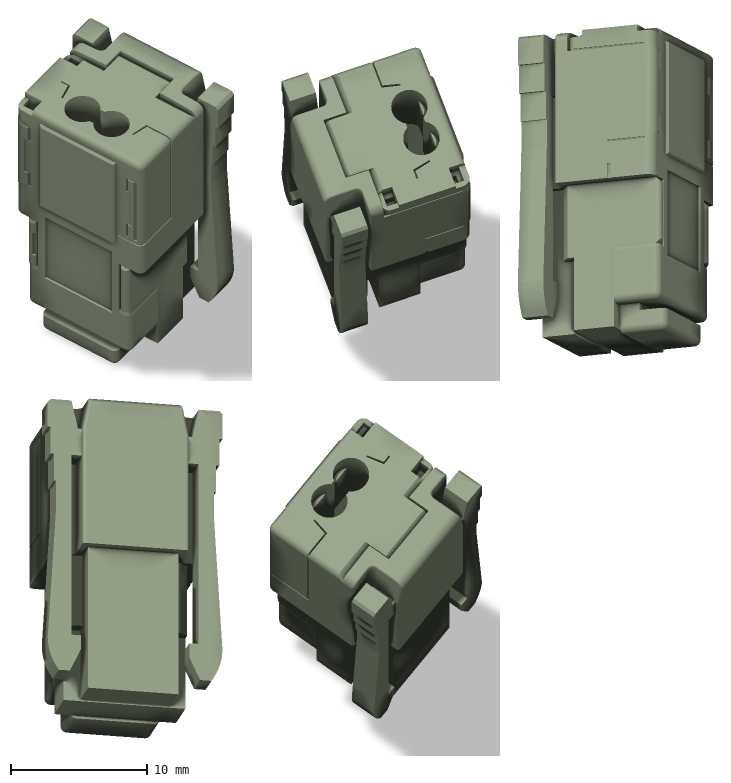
import cadquery as cq
import math

block_half_w = 5.72
block_bottom = 11.12
block_top = 22.45
block_back = 6.87
edge_round = 0.47
corner_round = 0.65
tongue_half_w = 2.3
tongue_back = 8.65
tongue_chamfer = 0.38

cover_top = 22.6
cover_slot_half_w = 2.42
wing_back = 7.89
cover_half_w = 3.98
cover_back = 10.74
cover_inner_round = 0.43
cover_edge_round = 0.23
cover_back_round = 0.63
wing_round = 0.68
cover_rim_round = 0.14
roof_slope = 0.05
flank_start = 20.07
flank_inset = 0.52

body_half_w = 4.57
body_back = 7.3
body_bottom = 0.2
slot_front = 6.8
slot_top = 5.67
bar_half_w = 3.4
bar_back = 9.83

shell_half_w = 4.6
shell_depth = 3.62
shell_bottom = 2.05
shell_top = 6.17
shell_bevel = 0.23
tab_half_w = 3.4
tab_top = 1.54
stem_front = 2.05

rib_inner = 3.77
rib_gap = 0.14
rib_proud = 0.1
rib_base = 0.25
rib_end_chamfer = 0.35
rib_edge_round = 0.32
rib_notch_bottom = 7.44
rib_notch_height = 2.33
rib_notch_width = 0.35
rib_notch_depth = 0.1

arm_front = 8.38
arm_depth = 2.03
arm_top = 22.22
arm_outer = 6.55
arm_inner = 4.77
arm_neck = 5.92
arm_step_pitch = 2.08
arm_step_outers = (6.33, 6.08)
arm_foot_inner = 4.3
arm_tip_inner = 4.88
arm_tip_outer = 5.72
arm_tip_bottom = 1.22
arm_curve_start = 3.73
arm_curve_mid_x = 6.3
arm_curve_mid_z = 2.3
hook_inner = 4.07
hook_top = 4.02
hook_bottom = 2.94

plate_half_w = 3.4
plate_bottom = 13.09
plate_height = 8.5
plate_proud = 0.23
plate_bevel = 0.14
panel_half_w = 3.03
panel_bottom = 5.54
panel_height = 6.45
panel_depth = 0.18
latch_bottom = 14.42
latch_top = 20.52
latch_end_height = 1.35
latch_inner = 4.32
latch_waist = 4.84
latch_right_outer = 5.3
latch_proud = 0.07
latch_gap = 0.2
latch_outer_gap = 0.27
latch_flare = 0.45

bore_radius = 1.33
bore_spacing = 2.62
bore_y = 2.35
bore_depth = 6.78
bore_neck_w = 0.27
bore_neck_h = 1.4
ledge_y = 1.33
ledge_depth = 1.8
pocket_inner = 4.18
pocket_lip = 0.38
pocket_depth = 2.03
shelf_depth = 1.13
well_inner = 4.52
front_shelf_start = 0.47
front_well_start = 0.81
front_pocket_back = 1.27
rear_pocket_front = 5.67
slit_width = 0.14
slit_depth = 0.45
slit_y = 3.64
slit_bend_x = 3.5
slit_end_x = 3.19
slit_end_y = 2.37
slit_left_outer = 4.2
seam_low = 14.0
seam_high = 20.95
seam_depth = 0.1
side_notch_y = 3.37
side_notch_width = 0.3
side_notch_height = 1.1

OVER = 0.23


def block(x0, x1, y0, y1, z0, z1):
    """Box given by its limits along each axis."""
    return cq.Workplane("XY").box(x1 - x0, y1 - y0, z1 - z0, centered=False).translate((x0, y0, z0))


def both_sides(solid):
    """The solid together with its mirror image across X = 0."""
    return solid.union(solid.mirror("YZ"))


def along_y(profile, y0, y1):
    """Extrude a closed XZ profile from y0 to y1."""
    return profile.extrude(y0 - y1).translate((0, y0, 0))


def make_upper_block():
    body = block(-block_half_w, block_half_w, 0, block_back, block_bottom, block_top)
    body = body.faces(">Z").edges(">Y").chamfer(edge_round)
    body = body.edges("|Z and <X and <Y").fillet(corner_round)
    body = body.edges("|Z and >X and <Y").fillet(edge_round)
    body = body.faces(">Z").edges("<Y").fillet(edge_round)
    square_edge = block(-block_half_w, -pocket_inner, front_pocket_back, rear_pocket_front,
                        block_bottom, block_top)
    tongue = block(-tongue_half_w, tongue_half_w, block_back - edge_round - OVER, tongue_back,
                   block_bottom, block_top)
    tongue = tongue.faces(">Z").edges(">Y").chamfer(tongue_chamfer)
    return body.union(square_edge).union(tongue)


def cover_roof():
    wing_slope_end = block_half_w - wing_round
    wing_high = cover_top - roof_slope * (wing_slope_end - cover_slot_half_w)
    diagonal = math.sqrt(0.5)
    across = (
        cq.Workplane("XZ").moveTo(0, block_bottom).lineTo(block_half_w, block_bottom)
        .lineTo(block_half_w, wing_high - wing_round)
        .threePointArc((wing_slope_end + wing_round * diagonal, wing_high - wing_round * (1 - diagonal)),
                       (wing_slope_end, wing_high))
        .lineTo(cover_slot_half_w, cover_top).lineTo(0, cover_top).close()
    )
    across = both_sides(along_y(across, 0, cover_back))
    back_slope_end = cover_back - cover_back_round
    back_high = cover_top - roof_slope * (back_slope_end - tongue_back)
    lengthwise = (
        cq.Workplane("YZ").moveTo(0, block_bottom).lineTo(cover_back, block_bottom)
        .lineTo(cover_back, back_high - cover_back_round)
        .threePointArc((back_slope_end + cover_back_round * diagonal,
                        back_high - cover_back_round * (1 - diagonal)),
                       (back_slope_end, back_high))
        .lineTo(tongue_back, cover_top).lineTo(0, cover_top).close()
        .extrude(block_half_w, both=True)
    )
    return across.intersect(lengthwise)


def make_cover():
    wings = block(-block_half_w, block_half_w, block_back, wing_back, block_bottom, cover_top)
    wings = wings.edges("|Z and >Y").fillet(cover_edge_round)
    back = (
        cq.Workplane("XZ").moveTo(0, block_bottom).lineTo(cover_half_w, block_bottom)
        .lineTo(cover_half_w, flank_start).lineTo(cover_half_w - flank_inset, cover_top)
        .lineTo(0, cover_top).close()
    )
    back = both_sides(along_y(back, block_back, cover_back))
    shape = wings.union(back.faces(">Y").edges("not #Z").fillet(cover_edge_round))
    inner_corners = cq.selectors.BoxSelector(
        (-cover_half_w - OVER / 2, wing_back - OVER / 2, block_bottom + OVER),
        (cover_half_w + OVER / 2, wing_back + OVER / 2, cover_top - OVER))
    shape = shape.edges(inner_corners).fillet(cover_inner_round)
    tongue_slot = block(-cover_slot_half_w, cover_slot_half_w, 0, tongue_back, block_bottom, cover_top)
    shape = shape.cut(tongue_slot).intersect(cover_roof())
    rim_inner = cover_half_w - flank_inset - OVER / 2
    rim_outer = block_half_w - OVER
    rim_bottom = cover_top - 2 * wing_round
    for side in (-1, 1):
        rim = cq.selectors.BoxSelector(
            (side * rim_inner, wing_back - OVER / 2, rim_bottom),
            (side * rim_outer, cover_back - cover_back_round, cover_top))
        shape = shape.edges(rim).fillet(cover_rim_round)
    return shape


def make_lower_body():
    window_inner = rib_inner - rib_gap
    ledge = shell_top - shell_bevel
    body = block(-body_half_w, body_half_w, rib_base, body_back, body_bottom, block_bottom)
    body = body.cut(block(-body_half_w, body_half_w, 0, shell_depth, body_bottom, ledge))
    body = body.union(block(-window_inner, window_inner, 0, shell_depth, ledge, block_bottom))
    shoulder = wing_back - body_back
    back = (
        cq.Workplane("XY").moveTo(-body_half_w, body_back).lineTo(body_half_w, body_back)
        .lineTo(body_half_w - shoulder, wing_back).lineTo(shoulder - body_half_w, wing_back).close()
        .extrude(block_bottom - slot_top).translate((0, 0, slot_top))
    )
    bar = block(-bar_half_w, bar_half_w, body_back, bar_back, body_bottom, block_bottom)
    slot = block(-body_half_w, body_half_w, slot_front, body_back, body_bottom, slot_top)
    return body.union(back).union(bar).cut(slot)


def make_shell():
    shell = block(-shell_half_w, shell_half_w, 0, shell_depth, shell_bottom, shell_top - shell_bevel)
    shell = shell.edges("|Z and <Y").fillet(edge_round)
    shell = shell.faces("<Z").edges("not >Y").fillet(edge_round)
    bevel_angle = math.degrees(math.atan2(shell_half_w - body_half_w, shell_bevel))
    return shell.faces(">Z").wires().toPending().workplane().extrude(shell_bevel, taper=bevel_angle)


def make_tab():
    tab = block(-tab_half_w, tab_half_w, 0, shell_depth, 0, tab_top)
    tab = tab.edges("|Z and <Y").fillet(edge_round)
    tab = tab.faces("<Z").edges("not >Y").fillet(edge_round)
    stem = block(-tab_half_w, tab_half_w, stem_front, shell_depth, tab_top - OVER, shell_bottom + OVER)
    return tab.union(stem)


def make_ribs():
    rib = block(rib_inner, body_half_w, -rib_proud, rib_base + rib_end_chamfer, shell_top, block_bottom)
    rib = rib.faces("<Y").edges("|X").chamfer(rib_end_chamfer)
    rib = rib.faces("<Y").edges("|Z").fillet(rib_edge_round)
    notch = block(-rib_inner - rib_notch_width, -rib_inner, -rib_proud, rib_notch_depth,
                  rib_notch_bottom, rib_notch_bottom + rib_notch_height)
    return both_sides(rib).cut(notch)


def make_arms():
    step_1 = flank_start
    step_2 = step_1 - arm_step_pitch
    step_3 = step_2 - arm_step_pitch
    neck_end = step_3 - arm_step_pitch
    profile = (
        cq.Workplane("XZ").moveTo(cover_half_w - OVER, step_1)
        .lineTo(arm_foot_inner, step_1).lineTo(arm_inner, arm_top)
        .lineTo(arm_outer - cover_edge_round, arm_top).lineTo(arm_outer, arm_top - cover_edge_round)
        .lineTo(arm_outer, step_1).lineTo(arm_step_outers[0], step_1)
        .lineTo(arm_step_outers[0], step_2).lineTo(arm_step_outers[1], step_2)
        .lineTo(arm_step_outers[1], step_3).lineTo(arm_neck, step_3).lineTo(arm_neck, neck_end)
        .lineTo(arm_outer, arm_curve_start)
        .threePointArc((arm_curve_mid_x, arm_curve_mid_z), (arm_tip_outer, arm_tip_bottom))
        .lineTo(arm_tip_inner, arm_tip_bottom).lineTo(hook_inner, hook_bottom)
        .lineTo(hook_inner, hook_top).lineTo(arm_inner, hook_top)
        .lineTo(arm_inner, step_2).lineTo(cover_half_w - OVER, step_2).close()
    )
    return both_sides(along_y(profile, arm_front, arm_front + arm_depth))


def make_plate():
    plate = block(-plate_half_w, plate_half_w, -plate_proud, OVER, plate_bottom, plate_bottom + plate_height)
    return plate.faces("<Y").chamfer(plate_bevel)


def latch_profile(outer, bend, flare):
    """C-shaped outline; its outer edge is taller by flare at both ends, starting at bend."""
    return (
        cq.Workplane("XZ").moveTo(outer, latch_bottom - flare).lineTo(bend, latch_bottom)
        .lineTo(latch_inner + latch_gap, latch_bottom)
        .lineTo(latch_inner + latch_gap, latch_bottom + latch_end_height)
        .lineTo(latch_waist, latch_bottom + latch_end_height)
        .lineTo(latch_waist, latch_top - latch_end_height)
        .lineTo(latch_inner + latch_gap, latch_top - latch_end_height)
        .lineTo(latch_inner + latch_gap, latch_top)
        .lineTo(bend, latch_top).lineTo(outer, latch_top + flare).close()
    )


def make_latches():
    right_outer = latch_right_outer - latch_outer_gap
    right_bend = (right_outer + latch_waist) / 2
    right = along_y(latch_profile(right_outer, right_bend, 0), -latch_proud, OVER)
    left = latch_profile(block_half_w, block_half_w - corner_round, latch_flare)
    left = along_y(left, -latch_proud, corner_round).mirror("YZ")
    return right.union(left.edges("|Z and <X and <Y").fillet(corner_round))


def make_latch_gaps():
    inner = latch_inner + latch_gap
    lower = block(latch_inner, inner, -OVER, seam_depth, latch_bottom, latch_bottom + latch_end_height)
    upper = block(latch_inner, inner, -OVER, seam_depth, latch_top - latch_end_height, latch_top)
    outer = block(latch_right_outer - latch_outer_gap, latch_right_outer, -OVER, seam_depth,
                  latch_bottom, latch_top)
    return both_sides(lower.union(upper)).union(outer)


def make_panel():
    return block(-panel_half_w, panel_half_w, -OVER, panel_depth, panel_bottom, panel_bottom + panel_height)


def make_wire_entry():
    bores = cq.Workplane("XY").rect(bore_neck_w, bore_neck_h).extrude(bore_depth)
    for side in (-1, 1):
        bore = cq.Workplane("XY").center(side * bore_spacing / 2, 0).circle(bore_radius).extrude(bore_depth)
        bores = bores.union(bore)
    bores = bores.translate((0, bore_y, block_top - bore_depth))
    ledge = block(-block_half_w, block_half_w, 0, ledge_y, block_bottom, block_top - ledge_depth)
    return bores.cut(ledge)


def corner_pocket(y0, y1, shelf_y0, shelf_y1, well_y0):
    """Lowered lip over y0..y1, a shelf inside it, and a deeper well from well_y0 on."""
    lip_z = block_top - edge_round
    lowered = block(-block_half_w, -pocket_inner, y0, y1, lip_z, block_top)
    shelf = block(-block_half_w + pocket_lip, -pocket_inner, shelf_y0, shelf_y1,
                  block_top - shelf_depth, block_top)
    well = block(-block_half_w + pocket_lip, -well_inner, well_y0, shelf_y1,
                 block_top - pocket_depth, block_top)
    return lowered.union(shelf).union(well)


def make_corner_pockets():
    front = corner_pocket(0, front_pocket_back, front_shelf_start, front_pocket_back, front_well_start)
    rear = corner_pocket(rear_pocket_front, block_back, rear_pocket_front, block_back - pocket_lip,
                         rear_pocket_front)
    return front.union(rear)


def bent_slit(outer):
    """Slit running in from x = outer along X, then bending toward the bores."""
    half = slit_width / 2
    return (
        cq.Workplane("XY").moveTo(outer, slit_y).lineTo(slit_bend_x + half, slit_y)
        .lineTo(slit_end_x + half, slit_end_y).lineTo(slit_end_x - half, slit_end_y)
        .lineTo(slit_bend_x - half, slit_y + slit_width).lineTo(outer, slit_y + slit_width).close()
        .extrude(slit_depth).translate((0, 0, block_top - slit_depth))
    )


def make_top_slits():
    return bent_slit(block_half_w + OVER).union(bent_slit(slit_left_outer).mirror("YZ"))


def make_right_seams():
    skin = block_half_w - seam_depth
    seam_back = slit_y + slit_width
    upright = block(skin, block_half_w, slit_y, seam_back, seam_low, block_top)
    side = block(skin, block_half_w, 0, seam_back, seam_low, seam_low + slit_width)
    front = block(slit_bend_x, block_half_w, 0, seam_depth, seam_low, seam_low + slit_width)
    corner = block(block_half_w - edge_round, block_half_w, 0, edge_round, seam_low, seam_low + slit_width)
    inner_radius = edge_round - seam_depth
    core = (
        cq.Workplane("XY").center(block_half_w - edge_round, edge_round).circle(inner_radius)
        .extrude(slit_width).translate((0, 0, seam_low))
    )
    return upright.union(side).union(front).union(corner.cut(core))


def make_left_seams():
    skin = seam_depth - block_half_w
    low = block(-block_half_w, skin, corner_round, slit_y, seam_low - slit_width, seam_low)
    high = block(-block_half_w, skin, corner_round, block_back, seam_high, seam_high + slit_width)
    notch = block(-block_half_w, skin, side_notch_y, side_notch_y + side_notch_width,
                  block_bottom, block_bottom + side_notch_height)
    return low.union(high).union(notch)


def make_corner_relief():
    height = cover_top - seam_high
    size = corner_round
    square = block(-block_half_w, size - block_half_w, block_back - size, block_back, seam_high, cover_top)
    round_part = cq.Workplane("XY").circle(size).extrude(height)
    return square.cut(round_part.translate((size - block_half_w, block_back - size, seam_high)))


additions = [
    make_cover(), make_lower_body(), make_shell(), make_tab(),
    make_ribs(), make_arms(), make_plate(), make_latches(),
]
removals = [
    make_panel(), make_latch_gaps(), make_wire_entry(), make_corner_pockets(), make_corner_relief(),
    make_top_slits(), make_right_seams(), make_left_seams(),
]

result = make_upper_block()
for addition in additions:
    result = result.union(addition)
for removal in removals:
    result = result.cut(removal)